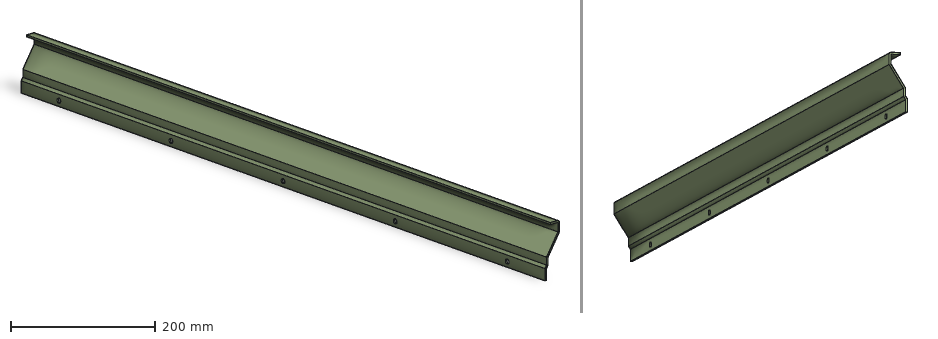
import cadquery as cq
import math

length = 1067.0
depth = 28.0
height = 83.0
sheet = 3.0

joggle_offset = 3.0
joggle_bottom = 18.0
joggle_top = 22.0
slope_bottom = 34.0
slope_top = 66.0
lip_width = 17.0
bend_radius = 4.0

hole_diameter = 7.1
hole_count = 5
hole_pitch = 228.0
hole_height = 9.0


def offset_path(points, distance):
    """Shift an open (Y, Z) path to its right with mitred corners."""
    headings = [math.atan2(b[1] - a[1], b[0] - a[0]) for a, b in zip(points, points[1:])]
    before = headings[:1] + headings
    after = headings + headings[-1:]
    shifted = []
    for (y, z), incoming, outgoing in zip(points, before, after):
        middle = (incoming + outgoing) / 2
        reach = distance / math.cos((outgoing - incoming) / 2)
        shifted.append((y + reach * math.sin(middle), z - reach * math.cos(middle)))
    return shifted


def make_sheet():
    """Bent profile extruded along X, with a rounded top bend."""
    front = [
        (0, 0),
        (0, joggle_bottom),
        (joggle_offset, joggle_top),
        (joggle_offset, slope_bottom),
        (depth - sheet, slope_top),
        (depth - sheet, height - sheet),
        (depth - lip_width, height - sheet),
    ]
    back = offset_path(front, sheet)
    body = cq.Workplane("YZ").polyline(front + back[::-1]).close().extrude(length)
    outer_corner = cq.selectors.NearestToPointSelector((length / 2, depth, height))
    inner_corner = cq.selectors.NearestToPointSelector((length / 2, depth - sheet, height - sheet))
    body = body.edges("|X").edges(outer_corner).fillet(bend_radius)
    return body.edges("|X").edges(inner_corner).fillet(bend_radius - sheet)


def make_holes():
    """Row of holes through the lower flange, centred along the length."""
    first = (length - (hole_count - 1) * hole_pitch) / 2
    centers = [(first + i * hole_pitch, hole_height) for i in range(hole_count)]
    return (
        cq.Workplane("XZ", origin=(0, depth, 0))
        .pushPoints(centers)
        .circle(hole_diameter / 2)
        .extrude(2 * depth)
    )


result = make_sheet().cut(make_holes())